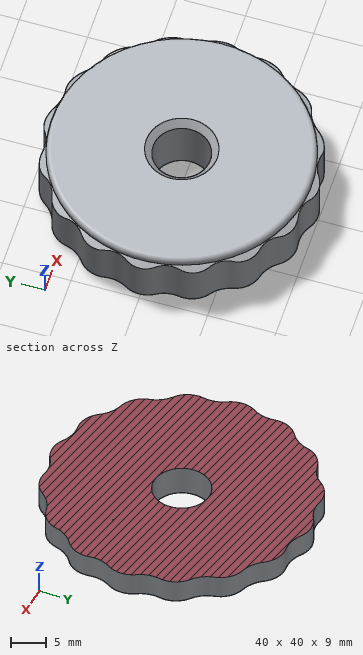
import cadquery as cq
import math

outer_radius = 20.0
total_height = 9.0
boss_radius = 10.0
boss_height = 1.0
boss_edge_round = 0.3
rim_radius = 19.0
rim_base_height = 8.0
rim_edge_round = 0.7
shoulder_slope = math.radians(30)
envelope_clearance = 0.4
bore_diameter = 8.35
countersink_diameter = 10.4
countersink_angle = 90.0

lobe_count = 16
lobe_radius = 4.0
valley_floor_radius = 19.1
half_pitch = math.pi / lobe_count
lobe_center_radius = outer_radius - lobe_radius


def polar(radius, angle):
    return (radius * math.cos(angle), radius * math.sin(angle))


def lobe_end_polar():
    """Polar radius about Z, and angle from the lobe's middle, of the lobe-to-valley tangent point."""
    axis_projection = lobe_center_radius * math.cos(half_pitch)
    valley_radius = (
        valley_floor_radius**2
        + lobe_center_radius**2
        - 2 * valley_floor_radius * axis_projection
        - lobe_radius**2
    ) / (2 * (lobe_radius + axis_projection - valley_floor_radius))
    valley_x, valley_y = polar(valley_floor_radius + valley_radius, half_pitch)
    direction = math.atan2(valley_y, valley_x - lobe_center_radius)
    end_x = lobe_center_radius + lobe_radius * math.cos(direction)
    end_y = lobe_radius * math.sin(direction)
    return math.hypot(end_x, end_y), math.atan2(end_y, end_x)


def grip():
    end_radius, end_angle = lobe_end_polar()
    outline = cq.Workplane("XY", origin=(0, 0, boss_height))
    outline = outline.moveTo(*polar(end_radius, -end_angle))
    for index in range(lobe_count):
        axis = 2 * index * half_pitch
        next_axis = axis + 2 * half_pitch
        outline = outline.threePointArc(polar(outer_radius, axis), polar(end_radius, axis + end_angle))
        outline = outline.threePointArc(
            polar(valley_floor_radius, axis + half_pitch),
            polar(end_radius, next_axis - end_angle),
        )
    return outline.close().extrude(rim_base_height - boss_height)


def sloped_envelope():
    """Solid of revolution whose conical top slopes the lobes down away from the rim."""
    clear_radius = outer_radius + envelope_clearance
    drop = (clear_radius - rim_radius) * math.tan(shoulder_slope)
    return (
        cq.Workplane("XZ")
        .moveTo(0, 0)
        .lineTo(clear_radius, 0)
        .lineTo(clear_radius, rim_base_height - drop)
        .lineTo(rim_radius, rim_base_height)
        .lineTo(0, rim_base_height)
        .close()
        .revolve(360, (0, 0, 0), (0, 1, 0))
    )


def rim():
    disc = cq.Workplane("XY", origin=(0, 0, boss_height)).circle(rim_radius)
    return disc.extrude(total_height - boss_height).faces(">Z").edges().fillet(rim_edge_round)


def boss():
    disc = cq.Workplane("XY").circle(boss_radius).extrude(boss_height)
    return disc.faces("<Z").edges().fillet(boss_edge_round)


body = grip().intersect(sloped_envelope()).union(rim()).union(boss())
result = (
    body.faces(">Z")
    .workplane(origin=(0, 0, total_height))
    .cskHole(bore_diameter, countersink_diameter, countersink_angle)
)